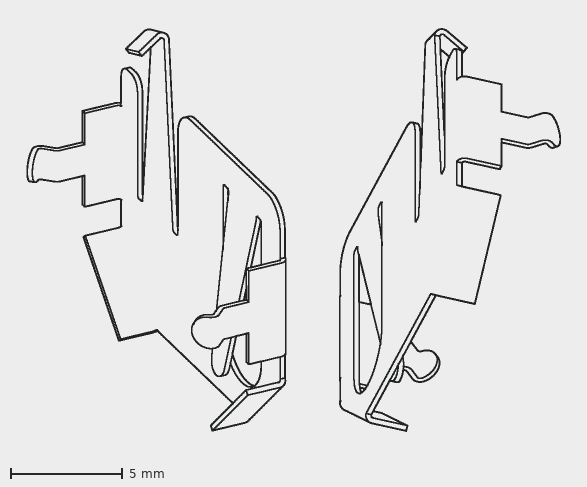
import cadquery as cq
import math

sheet = 0.25
inner_radius = 0.13
outer_radius = sheet + inner_radius

half_length = 8.95
overall_depth = 4.84

plate_half_width = 8.0
corner_angle = 45.0
plate_bottom = outer_radius * math.sin(math.radians(corner_angle))
plate_top = 12.7
plate_corner_radius = 1.29
corner_cut = 3.56
post_top = 12.16
post_radius = 0.65
relief_radius = 0.15

finger_x = -4.32
slot_half_span = 2.02
slot_bottom = 6.13
finger_root_half_width = 1.54
hook_z = 15.26
hook_width = 1.38
hook_skew = 20.0
hook_bend = 120.0
hook_length = 1.16

window_x = 4.19
window_width = 3.83
window_bottom = 1.77
window_top = 11.03
tongue_root_z = 10.75
tongue_root_half_width = 1.4
tongue_tip_z = 2.49
tongue_tip_radius = 0.65
tongue_taper = 5.6
tongue_tilt = 9.0

fold_angle = 90.0
flange_depth = 2.0
side_flange_height = 4.8
side_flange_z = 7.6
clip_width = 1.6
clip_bend = 45.0


def strip_plane(x, z, direction):
    """Plane across a fold line: local x leaves the plate at an angle in XZ, local y points to -Y."""
    angle = math.radians(direction)
    x_dir = cq.Vector(math.cos(angle), 0, math.sin(angle))
    return cq.Plane((x, 0, z), x_dir, x_dir.cross(cq.Vector(0, -1, 0)))


def move(point, angle, distance):
    """Point reached from another one at a given angle in radians and distance."""
    return (point[0] + distance * math.cos(angle), point[1] + distance * math.sin(angle))


def follow(outline, points):
    """Continue an outline with a line to one point or an arc through two."""
    if len(points) == 1:
        return outline.lineTo(*points[0])
    return outline.threePointArc(*points)


def bent_strip(plane, width, steps):
    """Sheet strip of ("line", length) and ("bend", degrees) steps; positive bends turn toward -Y.

    Returns the solid and the plane of its end: local x runs on along the sheet,
    and the normal points from the back face to the front face.
    """
    x, y, heading = 0.0, 0.0, 0.0
    back = []
    front = []
    for kind, amount in steps:
        left = heading + math.pi / 2
        if kind == "line":
            x, y = move((x, y), heading, amount)
            back.append([(x, y)])
            front.append([move((x, y), left, sheet)])
            continue
        turn = math.radians(amount)
        radius = outer_radius if turn > 0 else -inner_radius
        centre = move((x, y), left, radius)
        middle, end = left + turn / 2, left + turn
        back.append([move(centre, middle, -radius), move(centre, end, -radius)])
        front.append([move(centre, middle, sheet - radius), move(centre, end, sheet - radius)])
        x, y = back[-1][-1]
        heading += turn

    outline = cq.Workplane(plane).moveTo(0, 0)
    for points in back:
        outline = follow(outline, points)
    outline = outline.lineTo(*front[-1][-1])
    starts = [(0, sheet)] + [points[-1] for points in front[:-1]]
    for start, points in zip(reversed(starts), reversed(front)):
        outline = follow(outline, points[:-1] + [start])
    solid = outline.close().extrude(width / 2, both=True)

    origin = plane.toWorldCoords((x, y))
    ahead = plane.toWorldCoords(move((x, y), heading, 0.18)) - origin
    toward_front = plane.toWorldCoords(move((x, y), heading + math.pi / 2, 0.18)) - origin
    return solid, cq.Plane(origin, ahead, toward_front)


def flat_blank(points):
    """Flat sheet with a closed XZ outline, its back face on y = 0."""
    return cq.Workplane("XZ").polyline(points).close().extrude(sheet)


def round_upright(body, points, radius):
    """Round the edges parallel to Y that pass through the given XZ points."""
    reach = 0.02
    for x, z in points:
        corner = cq.selectors.BoxSelector((x - reach, -sheet, z - reach), (x + reach, 0, z + reach))
        body = body.edges("|Y").edges(corner).fillet(radius)
    return body


def make_plate():
    slot_left = finger_x - slot_half_span
    slot_right = finger_x + slot_half_span
    root_left = finger_x - finger_root_half_width
    root_right = finger_x + finger_root_half_width
    skew = math.radians(hook_skew)
    tip_dx = hook_width / 2 * math.cos(skew)
    tip_dz = hook_width / 2 * math.sin(skew)
    shoulder_z = plate_bottom + corner_cut
    foot_x = plate_half_width - corner_cut

    post_corners = [(-plate_half_width, post_top), (slot_left, post_top)]
    left_relief = [(slot_left, slot_bottom), (root_left, slot_bottom)]
    finger_tip = [(finger_x - tip_dx, hook_z - tip_dz), (finger_x + tip_dx, hook_z + tip_dz)]
    right_relief = [(root_right, slot_bottom), (slot_right, slot_bottom)]
    top_corners = [(slot_right, plate_top), (plate_half_width, plate_top)]
    lower_edge = [
        (plate_half_width, shoulder_z),
        (foot_x, plate_bottom),
        (-foot_x, plate_bottom),
        (-plate_half_width, shoulder_z),
    ]
    plate = flat_blank(post_corners + left_relief + finger_tip + right_relief + top_corners + lower_edge)
    plate = round_upright(plate, post_corners, post_radius)
    plate = round_upright(plate, left_relief + right_relief, relief_radius)
    return round_upright(plate, top_corners, plate_corner_radius)


def make_window():
    """Round-bottomed opening, less the neck that carries the tongue."""
    radius = window_width / 2
    arc_z = window_bottom + radius
    opening = (
        cq.Workplane("XZ")
        .moveTo(window_x - radius, window_top)
        .lineTo(window_x - radius, arc_z)
        .threePointArc((window_x, window_bottom), (window_x + radius, arc_z))
        .lineTo(window_x + radius, window_top)
        .close()
        .extrude(sheet)
    )
    neck = (
        cq.Workplane("XZ")
        .center(window_x, (tongue_root_z + window_top) / 2)
        .rect(2 * tongue_root_half_width, window_top - tongue_root_z)
        .extrude(sheet)
    )
    return opening.cut(neck).edges("|Y").edges(">Z").fillet(relief_radius)


def make_tongue():
    """Tilted strip trimmed to a tapered outline with a rounded tip."""
    taper = math.radians(tongue_taper)
    tip_centre_z = tongue_tip_z + tongue_tip_radius
    tangent_dx = tongue_tip_radius * math.cos(taper)
    tangent_z = tip_centre_z - tongue_tip_radius * math.sin(taper)
    outline = (
        cq.Workplane("XZ")
        .moveTo(window_x - tongue_root_half_width, tongue_root_z)
        .lineTo(window_x - tangent_dx, tangent_z)
        .threePointArc((window_x, tongue_tip_z), (window_x + tangent_dx, tangent_z))
        .lineTo(window_x + tongue_root_half_width, tongue_root_z)
        .close()
        .extrude(overall_depth)
    )
    length = tongue_root_z - window_bottom
    plane = strip_plane(window_x, tongue_root_z, -90)
    strip, _ = bent_strip(plane, window_width, [("bend", tongue_tilt), ("line", length)])
    return strip.intersect(outline)


def make_hook():
    plane = strip_plane(finger_x, hook_z, 90 + hook_skew)
    hook, _ = bent_strip(plane, hook_width, [("bend", hook_bend), ("line", hook_length)])
    return hook


def make_clip(plane):
    """Narrow arm that jogs outward, turns back in and ends in a half disc."""
    angle = math.radians(clip_bend)
    tip_radius = clip_width / 2
    jog_reach = half_length - plate_half_width - outer_radius
    bend_reach = (inner_radius + outer_radius) * (1 - math.cos(angle))
    slant = (jog_reach - bend_reach) / math.sin(angle)
    bend_depth = (inner_radius + 2 * outer_radius) * math.sin(angle)
    slant_depth = (slant + tip_radius) * math.cos(angle)
    straight = overall_depth - outer_radius - bend_depth - slant_depth

    steps = [
        ("bend", fold_angle),
        ("line", straight),
        ("bend", -clip_bend),
        ("line", slant),
        ("bend", 2 * clip_bend),
    ]
    arm, end = bent_strip(plane, clip_width, steps)
    tip = (
        cq.Workplane(end)
        .moveTo(0, -tip_radius)
        .threePointArc((tip_radius, 0), (0, tip_radius))
        .close()
        .extrude(sheet)
    )
    return arm.union(tip)


def make_left_flanges():
    """Side flange with its clip, and the flange along the cut corner."""
    fold = [("bend", fold_angle), ("line", flange_depth - outer_radius)]
    side_plane = strip_plane(-plate_half_width, side_flange_z, 180)
    side, _ = bent_strip(side_plane, side_flange_height, fold)

    corner_x = -plate_half_width + corner_cut / 2
    corner_z = plate_bottom + corner_cut / 2
    corner_plane = strip_plane(corner_x, corner_z, 180 + corner_angle)
    corner, _ = bent_strip(corner_plane, corner_cut * math.sqrt(2), fold)
    return [side.union(make_clip(side_plane)), corner]


result = make_plate().cut(make_window())
result = result.union(make_tongue()).union(make_hook())
for flange in make_left_flanges():
    result = result.union(flange).union(flange.mirror("YZ"))